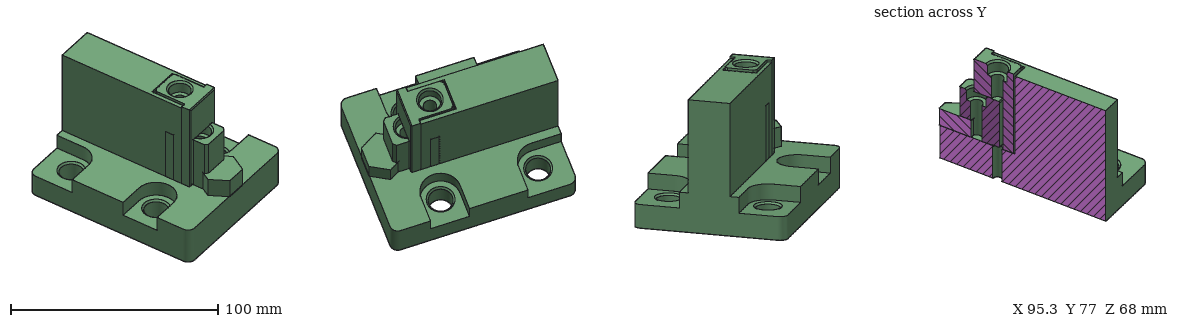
import cadquery as cq
import math

total_length = 95.25
total_height = 68.0

base_length = 95.0
base_width = 77.0
base_height = 20.0
base_corner_radius = 4.0

hole_spacing = 50.0
rear_hole_x = 15.5
front_hole_x = rear_hole_x + hole_spacing
mount_hole_y = hole_spacing / 2
mount_hole_diameter = 12.0
hole_chamfer = 1.0
pocket_radius = 10.0
pocket_depth = 8.0
pocket_floor_z = base_height - pocket_depth

upright_length = 70.5
upright_width = 21.05
upright_top_z = 67.1
slot_tip_gap = 0.5
slot_chamfer = 0.5

block_length = 23.05
stem_width = 16.0
head_thickness = 5.05
head_chamfer = 0.6
tip_chamfer = 1.5
upper_block_height = total_height - base_height
lower_block_height = 28.0
upper_face_x = upright_length + head_thickness
lower_head_x = 60.5
slot_start_x = upper_face_x - block_length - slot_tip_gap

screw_hole_from_tip = 9.5
screw_hole_diameter = 6.5
counterbore_diameter = 11.0
counterbore_depth = 6.5
screw_thread_diameter = 5.0
screw_thread_chamfer = (screw_hole_diameter - screw_thread_diameter) / 2
upper_screw_x = upper_face_x - block_length + screw_hole_from_tip
lower_screw_x = lower_head_x + block_length - screw_hole_from_tip

hex_flats = 18.5
hex_height = 10.0
hex_center_x = total_length - hex_flats / 2
hex_corner_diameter = hex_flats / math.cos(math.radians(30))


def box_between(x_start, x_end, width, z_start, z_end):
    """Box centred on Y = 0."""
    return (
        cq.Workplane("XY")
        .box(x_end - x_start, width, z_end - z_start, centered=(False, True, False))
        .translate((x_start, 0, z_start))
    )


def chamfered_bore(x, y, diameter, z_start, z_end, chamfer=hole_chamfer):
    """Cutter for a round bore that widens by a chamfer at its upper end."""
    return (
        cq.Workplane("XZ")
        .lineTo(diameter / 2, 0)
        .lineTo(diameter / 2, z_end - z_start - chamfer)
        .lineTo(diameter / 2 + chamfer, z_end - z_start)
        .lineTo(0, z_end - z_start)
        .close()
        .revolve(360, (0, 0, 0), (0, 1, 0))
        .translate((x, y, z_start))
    )


def screw_bore(x, block_height):
    """Cutter for a clearance hole with a chamfered counterbore, through a T block."""
    block_top_z = base_height + block_height
    clearance = (
        cq.Workplane("XY", origin=(x, 0, base_height))
        .circle(screw_hole_diameter / 2)
        .extrude(block_height)
    )
    counterbore = chamfered_bore(x, 0, counterbore_diameter, block_top_z - counterbore_depth, block_top_z)
    return clearance.union(counterbore)


def t_block_blank(head_face_x, tip_direction, block_height):
    """Solid T block on the base; its stem points along X by tip_direction (+1 or -1)."""
    shoulder_x = head_face_x + tip_direction * head_thickness
    chamfer_x = head_face_x + tip_direction * (block_length - tip_chamfer)
    tip_x = head_face_x + tip_direction * block_length
    half_head = upright_width / 2
    half_stem = stem_width / 2
    half_outline = [
        (head_face_x, half_head),
        (shoulder_x, half_head),
        (shoulder_x, half_stem),
        (chamfer_x, half_stem),
        (tip_x, half_stem - tip_chamfer),
    ]
    mirrored_half = [(x, -y) for x, y in reversed(half_outline)]
    block = (
        cq.Workplane("XY", origin=(0, 0, base_height))
        .polyline(half_outline + mirrored_half)
        .close()
        .extrude(block_height)
    )
    head_face = "<X" if tip_direction > 0 else ">X"
    return block.faces(head_face).chamfer(head_chamfer)


def rear_pocket():
    """Cutter for the +Y rear corner pocket, open to the rear and to the side."""
    inner_y = mount_hole_y - pocket_radius
    front_x = rear_hole_x + pocket_radius
    side_y = base_width / 2
    arc_offset = pocket_radius * math.sin(math.radians(45))
    return (
        cq.Workplane("XY", origin=(0, 0, pocket_floor_z))
        .moveTo(0, inner_y)
        .lineTo(rear_hole_x, inner_y)
        .threePointArc((rear_hole_x + arc_offset, mount_hole_y - arc_offset), (front_x, mount_hole_y))
        .lineTo(front_x, side_y)
        .lineTo(0, side_y)
        .close()
        .extrude(pocket_depth)
    )


def front_pocket():
    """Cutter for the +Y front pocket, a round-ended slot open to the side."""
    side_y = base_width / 2
    return (
        cq.Workplane("XY", origin=(0, 0, pocket_floor_z))
        .moveTo(front_hole_x - pocket_radius, side_y)
        .lineTo(front_hole_x - pocket_radius, mount_hole_y)
        .threePointArc(
            (front_hole_x, mount_hole_y - pocket_radius),
            (front_hole_x + pocket_radius, mount_hole_y),
        )
        .lineTo(front_hole_x + pocket_radius, side_y)
        .close()
        .extrude(pocket_depth)
    )


def slot_cutter():
    """Cutter for the upright's slot, open to the front and chamfered around its upper edge."""
    slot = box_between(slot_start_x, upright_length, stem_width, base_height, upright_top_z)
    chamfer_length = upright_length - slot_start_x + slot_chamfer
    flared_rim = (
        cq.Workplane("XY", origin=(upright_length, 0, upright_top_z))
        .rect(2 * chamfer_length, stem_width + 2 * slot_chamfer)
        .extrude(-slot_chamfer, taper=45)
    )
    return slot.union(flared_rim)


def make_base(lower_blank):
    """Base plate and upright in one piece."""
    base = box_between(0, base_length, base_width, 0, base_height).edges("|Z").fillet(base_corner_radius)
    for pocket in (rear_pocket(), front_pocket()):
        base = base.cut(pocket).cut(pocket.mirror("XZ"))
    for x in (rear_hole_x, front_hole_x):
        for y in (-mount_hole_y, mount_hole_y):
            base = base.cut(chamfered_bore(x, y, mount_hole_diameter, 0, pocket_floor_z))

    upright = box_between(0, upright_length, upright_width, base_height, upright_top_z)
    upright = upright.cut(slot_cutter()).cut(lower_blank)

    screw_thread = chamfered_bore(
        upper_screw_x, 0, screw_thread_diameter, 0, base_height, screw_thread_chamfer
    )
    return base.union(upright).cut(screw_thread)


def make_upper_block(lower_blank):
    """Tall T block whose head closes the slot; it straddles the lower block."""
    block = t_block_blank(upper_face_x, -1, upper_block_height)
    return block.cut(lower_blank).cut(screw_bore(upper_screw_x, upper_block_height))


def make_lower_block(lower_blank, hex_stop):
    """Short T block, its head held in the upright, with a recess for the hexagonal stop."""
    return lower_blank.cut(screw_bore(lower_screw_x, lower_block_height)).cut(hex_stop)


def make_hex_stop():
    """Hexagonal stop standing on the base, partly under the lower block."""
    return (
        cq.Workplane("XY", origin=(hex_center_x, 0, base_height))
        .transformed(rotate=(0, 0, 90))
        .polygon(6, hex_corner_diameter)
        .extrude(hex_height)
    )


lower_blank = t_block_blank(lower_head_x, 1, lower_block_height)
hex_stop = make_hex_stop()
lower_block = make_lower_block(lower_blank, hex_stop)
upper_block = make_upper_block(lower_blank)
base = make_base(lower_blank)

result = cq.Compound.makeCompound([base.val(), upper_block.val(), lower_block.val(), hex_stop.val()])